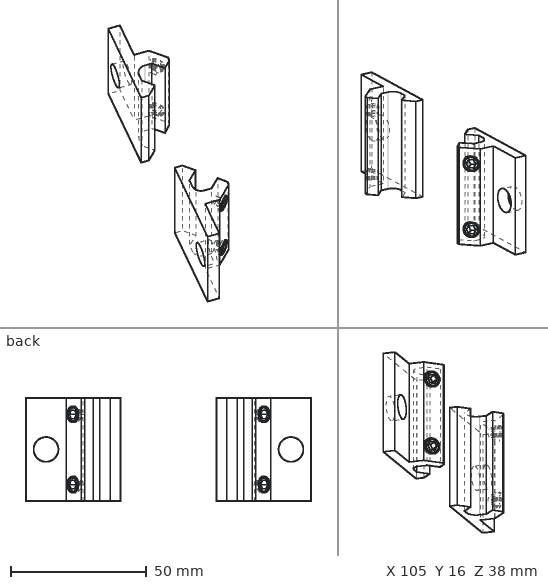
import cadquery as cq
import math

overall_length = 105.0
height = 38.0
depth = 16.0

plate_length = 34.9
plate_thickness = 4.6
mount_hole_diameter = 9.0
mount_hole_offset = 7.5

arm_start = 14.9
arm_bend_depth = 10.4
arm_tip_flat = 1.3

channel_side = 21.0
channel_floor = 3.0
channel_reach = 6.3
channel_radius = 3.5
channel_wall_run = 3.8

screw_hole_diameter = 6.0
screw_diameter = 5.0
screw_gap_depth = 1.0
socket_flats = 3.2
socket_depth = 3.7
screw_spacing = 25.8
screw_inset = 3.2


def make_blank():
    """Extrude the hook profile; its outer end is at X = 0 and its front face at Y = 0."""
    arm_rise = depth - arm_bend_depth
    flat_end = arm_start + arm_rise + arm_tip_flat
    upper_bend = (channel_side, channel_floor + channel_reach)
    lower_bend = (channel_side + channel_reach, channel_floor)
    upper_lip = (upper_bend[0] + channel_wall_run, upper_bend[1] + channel_wall_run)
    lower_lip = (lower_bend[0] + channel_wall_run, lower_bend[1] + channel_wall_run)
    plate_end_depth = lower_lip[1] - (plate_length - lower_lip[0])
    arc_inset = channel_radius * (1 - math.sqrt(0.5))
    return (
        cq.Workplane("XY")
        .lineTo(plate_length, 0)
        .lineTo(plate_length, plate_end_depth)
        .lineTo(*lower_lip)
        .lineTo(*lower_bend)
        .lineTo(channel_side + channel_radius, channel_floor)
        .threePointArc(
            (channel_side + arc_inset, channel_floor + arc_inset),
            (channel_side, channel_floor + channel_radius),
        )
        .lineTo(*upper_bend)
        .lineTo(*upper_lip)
        .lineTo(flat_end, depth)
        .lineTo(arm_start + arm_rise, depth)
        .lineTo(arm_start, arm_bend_depth)
        .lineTo(arm_start, plate_thickness)
        .lineTo(0, plate_thickness)
        .close()
        .extrude(height)
    )


def make_mount_hole():
    """Cutter for the hole through the plate."""
    return (
        cq.Workplane("XZ", origin=(mount_hole_offset, 0, height / 2))
        .circle(mount_hole_diameter / 2)
        .extrude(-plate_thickness)
    )


def make_screw_cutter(z):
    """Cutter for one screw's ring gap and socket, square to the sloping arm face."""
    axis_y = depth - screw_inset
    axis_x = arm_start + axis_y - arm_bend_depth
    face = cq.Workplane(cq.Plane(origin=(axis_x, axis_y, z), xDir=(1, 1, 0), normal=(-1, 1, 0)))
    gap = face.circle(screw_hole_diameter / 2).circle(screw_diameter / 2).extrude(-screw_gap_depth)
    socket_corners = socket_flats / math.cos(math.pi / 6)
    socket = face.polygon(6, socket_corners).extrude(-socket_depth)
    return gap.union(socket)


def make_bracket():
    """One bracket with its plate hole and two screw details."""
    bracket = make_blank().cut(make_mount_hole())
    for side in (-1, 1):
        bracket = bracket.cut(make_screw_cutter(height / 2 + side * screw_spacing / 2))
    return bracket.translate((-overall_length / 2, 0, 0))


left_bracket = make_bracket()
brackets = [left_bracket.val()]
brackets.append(left_bracket.mirror("YZ").val())

result = cq.Compound.makeCompound(brackets)